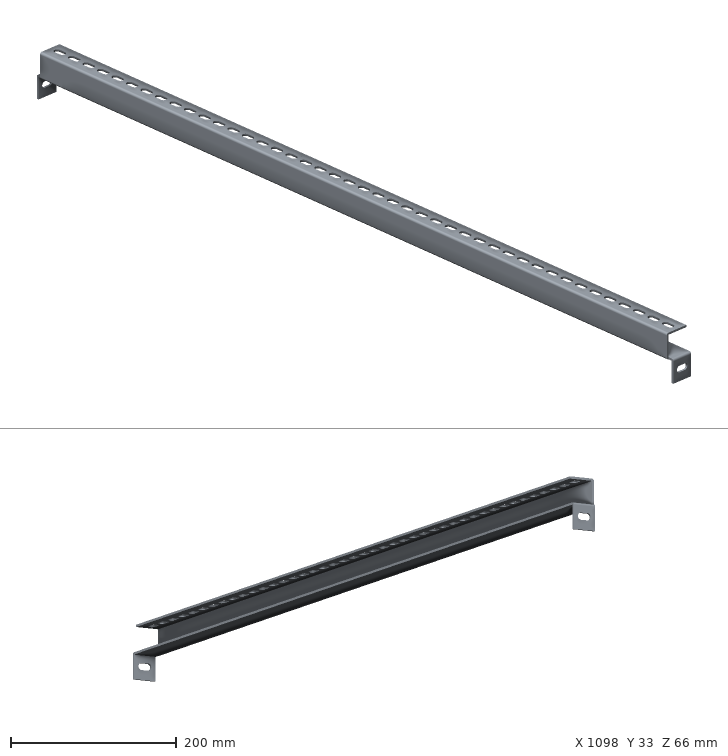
import cadquery as cq

LENGTH = 1098.0
DEPTH = 33.0
HEIGHT = 66.0

THICKNESS = 2.9
BEND_INNER = 0.1
BEND_OUTER = BEND_INNER + THICKNESS

CHANNEL_LENGTH = 1082.0
TAB_HEIGHT = 33.0
CHANNEL_HEIGHT = HEIGHT - TAB_HEIGHT + THICKNESS

SLOT_LENGTH = 18.0
SLOT_WIDTH = 9.0
SLOT_COUNT = 43
SLOT_ROW_SPAN = 1050.0
SLOT_PITCH = SLOT_ROW_SPAN / (SLOT_COUNT - 1)

FRONT = -DEPTH / 2
FLOOR_BOTTOM = TAB_HEIGHT - THICKNESS
SLOT_Y = THICKNESS / 2


def make_channel():
    """C-shaped channel, open to the back, with rounded bends along its front web."""
    centered = (True, False, False)
    outer = cq.Workplane("XY").box(CHANNEL_LENGTH, DEPTH, CHANNEL_HEIGHT, centered=centered)
    outer = outer.edges("|X and <Y").fillet(BEND_OUTER)
    clear_height = CHANNEL_HEIGHT - 2 * THICKNESS
    inner = cq.Workplane("XY").box(CHANNEL_LENGTH, DEPTH, clear_height, centered=centered)
    inner = inner.edges("|X and <Y").fillet(BEND_INNER)
    channel = outer.cut(inner.translate((0, THICKNESS, THICKNESS)))
    return channel.translate((0, FRONT, FLOOR_BOTTOM))


def make_strap():
    """Bottom flange running past both channel ends and folded down into a tab at each end.

    It starts behind the bend of the web, so it is narrower than the full depth.
    """
    centered = (True, False, False)
    width = DEPTH - BEND_OUTER
    outer = cq.Workplane("XY").box(LENGTH, width, TAB_HEIGHT, centered=centered)
    outer = outer.edges("|Y and >Z").fillet(BEND_OUTER)
    clear_length = LENGTH - 2 * THICKNESS
    inner = cq.Workplane("XY").box(clear_length, width, FLOOR_BOTTOM, centered=centered)
    inner = inner.edges("|Y and >Z").fillet(BEND_INNER)
    return outer.cut(inner).translate((0, FRONT + BEND_OUTER, 0))


def make_top_slots():
    """Cutters for the row of slots through the top flange."""
    return (
        cq.Workplane("XY", origin=(0, SLOT_Y, HEIGHT - THICKNESS))
        .rarray(SLOT_PITCH, 11, SLOT_COUNT, 1)
        .slot2D(SLOT_LENGTH, SLOT_WIDTH)
        .extrude(THICKNESS)
    )


def make_tab_slots():
    """One cutter along X that opens the slot in both tabs."""
    return (
        cq.Workplane("YZ", origin=(0, SLOT_Y, TAB_HEIGHT / 2))
        .slot2D(SLOT_LENGTH, SLOT_WIDTH)
        .extrude(LENGTH / 2, both=True)
    )


body = make_channel().union(make_strap())
result = body.cut(make_top_slots()).cut(make_tab_slots())